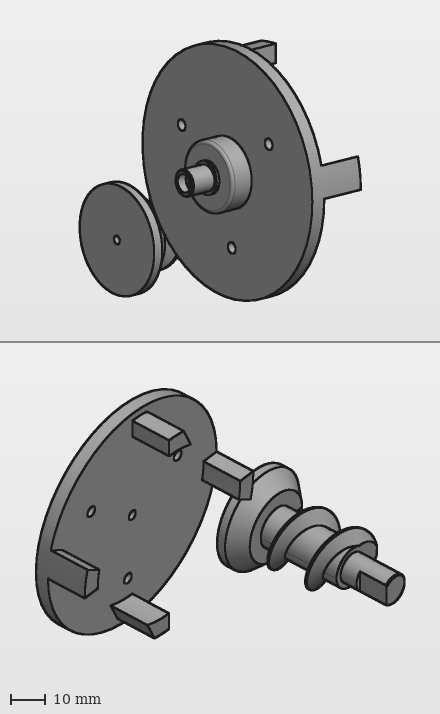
import cadquery as cq
import math


disc_diameter = 75.1
disc_thickness = 4.5
hub_diameter = 21.5
hub_length = 7.3
hub_fillet = 1.0
collar_diameter = 10.0
collar_length = 1.0
spindle_diameter = 8.0
spindle_length = 8.1
tip_chamfer = 0.3
socket_diameter = 5.5
socket_depth = 3.0
bore_diameter = 3.0

hole_diameter = 3.4
hole_circle_radius = 22.3
hole_count = 3
first_hole_angle = 35

claw_height = 13.8
claw_thickness = 5.8
outer_claw_radius = disc_diameter / 2
outer_claw_outer_end = 9.7
outer_claw_inner_end = 6.5
inner_claw_radius = 35.0
inner_claw_outer_end = 6.5
inner_claw_inner_end = 9.6

flange_diameter = 33.0
flange_thickness = 3.0
cone_top_diameter = 23.4
cone_top_y = 8.2
core_diameter = 13.5
core_end_y = 36.6
journal_diameter = 10.0
screw_end_y = 52.5
flat_start_y = 42.5
flat_offset = 3.4
center_hole_diameter = 2.5
center_hole_depth = 2.2
center_hole_cone_height = 0.8

overall_width = 108.3
overall_height = 88.1
screw_x = (disc_diameter + flange_diameter) / 2 - overall_width
screw_z = (disc_diameter + flange_diameter) / 2 - overall_height

thread_diameter = 22.7
thread_pitch = 14.2
thread_root_width = 5.7
thread_crest_width = 0.6
thread_start_y = 8.0
thread_turns = 2.5
thread_root_overlap = 0.5


def cylinder(diameter, y_start, y_end, x=0, z=0):
    """Cylinder along Y between two Y positions."""
    plane = cq.Plane(origin=(x, y_start, z), xDir=(1, 0, 0), normal=(0, 1, 0))
    return cq.Workplane(plane).circle(diameter / 2).extrude(y_end - y_start)


def point_on_arc(radius, offset):
    """Point on a circle about the origin, a given distance to the side of the local X axis."""
    return math.sqrt(radius**2 - offset**2), offset


def claw(outer_radius, outer_end, inner_end, angle):
    """Arc-shaped claw from a flat side at the given angle to a slanted end."""
    inner_radius = outer_radius - claw_thickness
    profile = (
        cq.Workplane("XY")
        .moveTo(inner_radius, 0)
        .lineTo(outer_radius, 0)
        .threePointArc(point_on_arc(outer_radius, outer_end / 2), point_on_arc(outer_radius, outer_end))
        .lineTo(*point_on_arc(inner_radius, inner_end))
        .threePointArc(point_on_arc(inner_radius, inner_end / 2), (inner_radius, 0))
        .close()
    )
    standing = profile.extrude(claw_height).rotate((0, 0, 0), (1, 0, 0), 90)
    return standing.translate((0, claw_height, 0)).rotate((0, 0, 0), (0, 1, 0), -angle)


def make_rotor():
    disc_front = -disc_thickness
    hub_front = disc_front - hub_length
    collar_front = hub_front - collar_length
    spindle_tip = collar_front - spindle_length

    rotor = cylinder(disc_diameter, disc_front, 0)
    rotor = rotor.union(cylinder(hub_diameter, hub_front, disc_front).faces("<Y").fillet(hub_fillet))
    rotor = rotor.union(cylinder(collar_diameter, collar_front, hub_front))
    rotor = rotor.union(cylinder(spindle_diameter, spindle_tip, collar_front).faces("<Y").chamfer(tip_chamfer))

    for half_turn in (0, 180):
        rotor = rotor.union(
            claw(outer_claw_radius, outer_claw_outer_end, outer_claw_inner_end, half_turn)
        )
        rotor = rotor.union(
            claw(inner_claw_radius, inner_claw_outer_end, inner_claw_inner_end, half_turn + 90)
        )

    rotor = rotor.cut(cylinder(bore_diameter, spindle_tip, 0))
    rotor = rotor.cut(cylinder(socket_diameter, spindle_tip, spindle_tip + socket_depth))
    for index in range(hole_count):
        angle = math.radians(first_hole_angle + index * 360 / hole_count)
        hole_x = hole_circle_radius * math.cos(angle)
        hole_z = hole_circle_radius * math.sin(angle)
        rotor = rotor.cut(cylinder(hole_diameter, disc_front, 0, hole_x, hole_z))
    return rotor


def make_thread():
    """Left-hand thread that starts on the -X side and is trimmed flush with the end of the core."""
    root_radius = core_diameter / 2 - thread_root_overlap
    crest_radius = thread_diameter / 2
    path = cq.Wire.makeHelix(
        thread_pitch, thread_turns * thread_pitch, core_diameter / 2, lefthand=True
    )
    ridge = (
        cq.Workplane("XZ")
        .polyline([
            (root_radius, -thread_root_width / 2),
            (crest_radius, -thread_crest_width / 2),
            (crest_radius, thread_crest_width / 2),
            (root_radius, thread_root_width / 2),
        ])
        .close()
        .sweep(cq.Workplane(path), isFrenet=True)
    )
    ridge = ridge.rotate((0, 0, 0), (1, 0, 0), -90).rotate((0, 0, 0), (0, 1, 0), 180)
    ridge = ridge.translate((0, thread_start_y, 0))
    return ridge.intersect(cylinder(flange_diameter, flange_thickness, core_end_y))


def make_screw():
    shaft = (
        cq.Workplane("XY")
        .polyline([
            (0, 0),
            (flange_diameter / 2, 0),
            (flange_diameter / 2, flange_thickness),
            (cone_top_diameter / 2, cone_top_y),
            (core_diameter / 2, cone_top_y),
            (core_diameter / 2, core_end_y),
            (journal_diameter / 2, core_end_y),
            (journal_diameter / 2, screw_end_y - tip_chamfer),
            (journal_diameter / 2 - tip_chamfer, screw_end_y),
            (0, screw_end_y),
        ])
        .close()
        .revolve(360, (0, 0, 0), (0, 1, 0))
    )
    screw = shaft.union(make_thread())

    flat_cutter = cq.Workplane("XY").box(
        journal_diameter, screw_end_y - flat_start_y, journal_diameter, centered=(False, False, True)
    )
    screw = screw.cut(flat_cutter.translate((flat_offset, flat_start_y, 0)))

    hole_radius = center_hole_diameter / 2
    center_hole = (
        cq.Workplane("XY")
        .polyline([
            (0, 0),
            (hole_radius, 0),
            (hole_radius, center_hole_depth),
            (0, center_hole_depth - center_hole_cone_height),
        ])
        .close()
        .revolve(360, (0, 0, 0), (0, 1, 0))
    )
    screw = screw.cut(center_hole)
    return screw.translate((screw_x, 0, screw_z))


rotor = make_rotor()
screw = make_screw()

result = cq.Compound.makeCompound([*rotor.solids().vals(), *screw.solids().vals()])